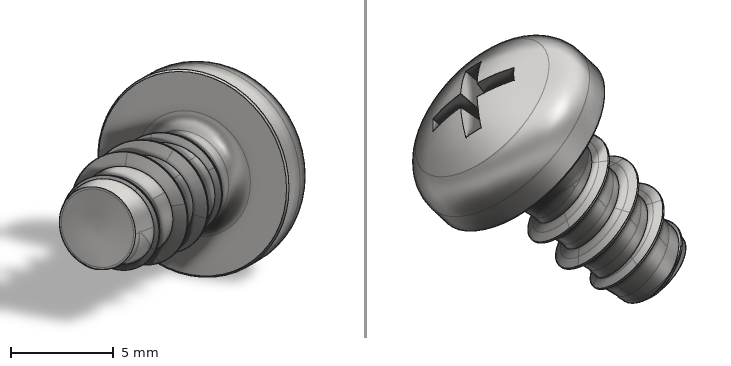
import cadquery as cq
import math


HEAD_RADIUS = 5.25
HEAD_APEX = 4.15
RIM_TOP = 1.27
SHOULDER_RADIUS = 2.12
DOME_EDGE_RADIUS = 4.2
UNDERSIDE_CHAMFER = 0.09
APEX_ANGLE = 90

RECESS_WIDTH = 1.04
RECESS_LENGTH = 5.16
RECESS_DEPTH = 2.5
RECESS_TAPER = 6.0

SHANK_RADIUS = 2.4
NECK_FILLET = 0.78
FILLET_MIDDLE_ANGLE = 135
NECK_END = 1.52
NECK_CONE_END = 2.46
CONE_OVERRUN = 1.3
CORE_RADIUS = 2.14
SHANK_LENGTH = 10.0

TIP_RADIUS = 2.09
TIP_TAPER = 0.16
TIP_TAPER_LENGTH = 2.0

DIMPLE_RADIUS = 1.98
DIMPLE_DEPTH = 0.12

PITCH = 2.13
THREAD_RADIUS = 3.0
REFERENCE_DEPTH = 4.67
RUN_IN_START = 0.75
FULL_START = 3.6
FULL_END = 6.8
RUN_OUT_END = 10.6
RUN_IN_SLOPE = 0.214
RUN_OUT_SLOPE = 0.28
CREST_HALF_WIDTH = 0.05
STRETCHES_PER_TURN = 4
PARTS_PER_STRETCH = 6

BASE_HEIGHT = -0.98
THREAD_SECTION = [
    (-0.5, BASE_HEIGHT),
    (-0.23, -0.45),
    (-CREST_HALF_WIDTH, 0.0),
    (CREST_HALF_WIDTH, 0.0),
    (0.36, BASE_HEIGHT),
]

RELIEF_HEIGHT = 0.235
RELIEF_LENGTH = 1.28
RELIEF_BURIAL = 0.3
RELIEF_OVERRUN = 1.4
RELIEF_SECTION = [
    (0.0, -RELIEF_BURIAL),
    (0.0, RELIEF_HEIGHT),
    (RELIEF_OVERRUN * RELIEF_LENGTH, (1 - RELIEF_OVERRUN) * RELIEF_HEIGHT),
]


def crest_radius(depth):
    """Radius of the thread crest, including the run-in and the run-out."""
    run_in_loss = RUN_IN_SLOPE * max(0.0, FULL_START - depth)
    run_out_loss = RUN_OUT_SLOPE * max(0.0, depth - FULL_END)
    return THREAD_RADIUS - run_in_loss - run_out_loss


def relief_base_radius(_depth):
    """Radius that the relief stands on: the plain core, whatever the depth."""
    return CORE_RADIUS


def helix_point(depth, offset, radius):
    """Point of a right-hand helix around Y, shifted along the axis toward the tip."""
    angle = 2 * math.pi * (depth - REFERENCE_DEPTH) / PITCH
    return cq.Vector(-radius * math.sin(angle), -depth - offset, radius * math.cos(angle))


def stations_between(start, end, count):
    """Evenly spaced depths that divide a range into the given number of parts."""
    return [start + (end - start) * i / count for i in range(count + 1)]


def helical_ridge(section, base_radius, limits):
    """Solid that carries the section along the helix through the given limiting depths."""

    def corner_point(depth, corner):
        offset, height = corner
        return helix_point(depth, offset, base_radius(depth) + height)

    def corner_edge(corner, start, end):
        depths = stations_between(start, end, PARTS_PER_STRETCH)
        return cq.Edge.makeSpline([corner_point(depth, corner) for depth in depths])

    def end_cap(depth):
        corners = [corner_point(depth, corner) for corner in section]
        return cq.Face.makeFromWires(cq.Wire.makePolygon(corners, close=True))

    faces = [end_cap(limits[0]), end_cap(limits[-1])]
    for zone_start, zone_end in zip(limits, limits[1:]):
        stretches = math.ceil(STRETCHES_PER_TURN * (zone_end - zone_start) / PITCH)
        depths = stations_between(zone_start, zone_end, stretches)
        for start, end in zip(depths, depths[1:]):
            edges = [corner_edge(corner, start, end) for corner in section]
            for edge, next_edge in zip(edges, edges[1:] + edges[:1]):
                faces.append(cq.Face.makeRuledSurface(edge, next_edge))
    return cq.Workplane(obj=cq.Solid.makeSolid(cq.Shell.makeShell(faces)).fix())


def cylinder_along_shank(radius, start, end):
    """Solid cylinder around Y between two depths."""
    return cq.Workplane("XZ", origin=(0, -start, 0)).circle(radius).extrude(end - start)


def arc_middle(center, radius, degrees):
    """Point of a circle at the given angle, used as the middle of an arc."""
    angle = math.radians(degrees)
    return (center[0] + radius * math.cos(angle), center[1] + radius * math.sin(angle))


def make_head_and_neck():
    """Head and neck turned around Y."""
    shoulder_center = (HEAD_RADIUS - SHOULDER_RADIUS, RIM_TOP)
    shoulder_angle = math.degrees(math.acos((DOME_EDGE_RADIUS - shoulder_center[0]) / SHOULDER_RADIUS))
    dome_edge_height = RIM_TOP + SHOULDER_RADIUS * math.sin(math.radians(shoulder_angle))
    dome_rise = HEAD_APEX - dome_edge_height
    dome_radius = (DOME_EDGE_RADIUS**2 + dome_rise**2) / (2 * dome_rise)
    dome_center = (0, HEAD_APEX - dome_radius)
    dome_edge_angle = math.degrees(math.acos(DOME_EDGE_RADIUS / dome_radius))
    fillet_center = (SHANK_RADIUS + NECK_FILLET, -NECK_FILLET)

    cone_end_depth = NECK_END + CONE_OVERRUN * (NECK_CONE_END - NECK_END)
    cone_end_radius = SHANK_RADIUS - CONE_OVERRUN * (SHANK_RADIUS - CORE_RADIUS)

    return (
        cq.Workplane("XY")
        .moveTo(0, HEAD_APEX)
        .threePointArc(
            arc_middle(dome_center, dome_radius, (APEX_ANGLE + dome_edge_angle) / 2),
            (DOME_EDGE_RADIUS, dome_edge_height),
        )
        .threePointArc(
            arc_middle(shoulder_center, SHOULDER_RADIUS, shoulder_angle / 2),
            (HEAD_RADIUS, RIM_TOP),
        )
        .lineTo(HEAD_RADIUS, UNDERSIDE_CHAMFER)
        .lineTo(HEAD_RADIUS - UNDERSIDE_CHAMFER, 0)
        .lineTo(SHANK_RADIUS + NECK_FILLET, 0)
        .threePointArc(
            arc_middle(fillet_center, NECK_FILLET, FILLET_MIDDLE_ANGLE),
            (SHANK_RADIUS, -NECK_FILLET),
        )
        .lineTo(SHANK_RADIUS, -NECK_END)
        .lineTo(cone_end_radius, -cone_end_depth)
        .lineTo(0, -cone_end_depth)
        .close()
        .revolve(360, (0, 0, 0), (0, 1, 0))
    )


def make_recess():
    """Two crossed slots with tapered walls, sunk from the apex of the head."""
    recess = cq.Workplane("XZ", origin=(0, HEAD_APEX, 0))
    along_x = recess.rect(RECESS_LENGTH, RECESS_WIDTH).extrude(RECESS_DEPTH, taper=RECESS_TAPER)
    along_z = recess.rect(RECESS_WIDTH, RECESS_LENGTH).extrude(RECESS_DEPTH, taper=RECESS_TAPER)
    return along_x.union(along_z)


def make_tip_envelope():
    """Cylinder with a conical end that tapers the core and relief; it runs past the tip."""
    taper_start = SHANK_LENGTH - TIP_TAPER_LENGTH
    taper_end = SHANK_LENGTH + TIP_TAPER_LENGTH
    radius_change = TIP_TAPER * TIP_TAPER_LENGTH
    return (
        cq.Workplane("XY")
        .lineTo(TIP_RADIUS + radius_change, 0)
        .lineTo(TIP_RADIUS + radius_change, -taper_start)
        .lineTo(TIP_RADIUS - radius_change, -taper_end)
        .lineTo(0, -taper_end)
        .close()
        .revolve(360, (0, 0, 0), (0, 1, 0))
    )


def make_threaded_shank():
    """Core, relief and thread, trimmed flat at the neck and at the tip."""
    core = cylinder_along_shank(CORE_RADIUS, 0, RUN_OUT_END + PITCH)
    relief = helical_ridge(RELIEF_SECTION, relief_base_radius, [RUN_IN_START, RUN_OUT_END])
    thread = helical_ridge(
        THREAD_SECTION, crest_radius, [RUN_IN_START, FULL_START, FULL_END, RUN_OUT_END]
    )
    zone = cylinder_along_shank(HEAD_RADIUS, NECK_END, SHANK_LENGTH)
    body = core.union(relief).intersect(make_tip_envelope())
    return body.union(thread).intersect(zone)


def make_dimple():
    """Shallow cone sunk into the tip."""
    return (
        cq.Workplane("XY")
        .moveTo(0, -SHANK_LENGTH)
        .lineTo(DIMPLE_RADIUS, -SHANK_LENGTH)
        .lineTo(0, -SHANK_LENGTH + DIMPLE_DEPTH)
        .close()
        .revolve(360, (0, 0, 0), (0, 1, 0))
    )


head_and_neck = make_head_and_neck().cut(make_recess())
threaded_shank = make_threaded_shank().cut(make_dimple())
result = head_and_neck.union(threaded_shank).solids()